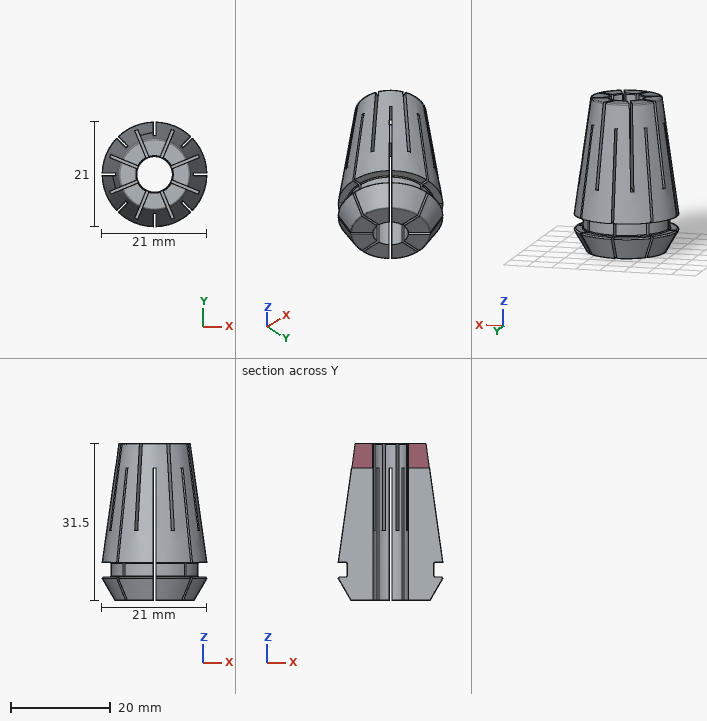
import cadquery as cq
import math

total_height = 31.5
max_radius = 10.5
bore_diameter = 7.14

taper_angle = 8.0
taper_start_z = 7.65

nose_angle = 30.0
flange_edge_z = 4.45
flange_chamfer = 0.3
groove_radius = 8.7
groove_chamfer = 0.2

top_fillet = 0.25
bore_chamfer = 0.2
bottom_fillet = 0.2

slots_per_end = 8
lower_slot_width = 0.5
lower_slot_top_z = 26.55
upper_slot_width = 0.65
upper_slot_bottom_z = 14.0

flange_top_z = flange_edge_z + flange_chamfer
bottom_radius = max_radius - flange_edge_z * math.tan(math.radians(nose_angle))
top_radius = max_radius - (total_height - taper_start_z) * math.tan(math.radians(taper_angle))
slot_pitch = 360.0 / slots_per_end


def collet_body():
    """Revolved collet, with bevelled groove corners and softened rims."""
    profile = [
        (0, 0),
        (bottom_radius, 0),
        (max_radius, flange_edge_z),
        (max_radius - flange_chamfer, flange_top_z),
        (groove_radius, flange_top_z),
        (groove_radius, taper_start_z),
        (max_radius, taper_start_z),
        (top_radius, total_height),
        (0, total_height),
    ]
    body = cq.Workplane("XZ").polyline(profile).close().revolve(360, (0, 0), (0, 1))
    groove_corners = cq.selectors.BoxSelector(
        (-max_radius, -max_radius, flange_top_z - groove_chamfer),
        (max_radius, max_radius, taper_start_z + groove_chamfer),
    )
    body = body.edges(groove_corners).edges(cq.selectors.RadiusNthSelector(0)).chamfer(groove_chamfer)
    body = body.cut(cq.Workplane("XY").circle(bore_diameter / 2).extrude(total_height))
    body = body.faces("<Z").edges(cq.selectors.RadiusNthSelector(-1)).fillet(bottom_fillet)
    body = body.faces(">Z").edges(cq.selectors.RadiusNthSelector(0)).chamfer(bore_chamfer)
    return body.faces(">Z").edges(cq.selectors.RadiusNthSelector(-1)).fillet(top_fillet)


def radial_slots(width, bottom_z, top_z, first_angle):
    """Ring of narrow radial cutters reaching from the axis past the outside."""
    cutters = cq.Workplane("XY")
    for index in range(slots_per_end):
        cutter = (
            cq.Workplane("XY", origin=(0, 0, bottom_z))
            .rect(2 * max_radius, width)
            .extrude(top_z - bottom_z)
            .translate((max_radius, 0, 0))
            .rotate((0, 0, 0), (0, 0, 1), first_angle + index * slot_pitch)
        )
        cutters = cutters.add(cutter)
    return cutters.combine()


lower_slots = radial_slots(lower_slot_width, 0, lower_slot_top_z, 0)
upper_slots = radial_slots(upper_slot_width, upper_slot_bottom_z, total_height, slot_pitch / 2)

result = collet_body().cut(lower_slots).cut(upper_slots)